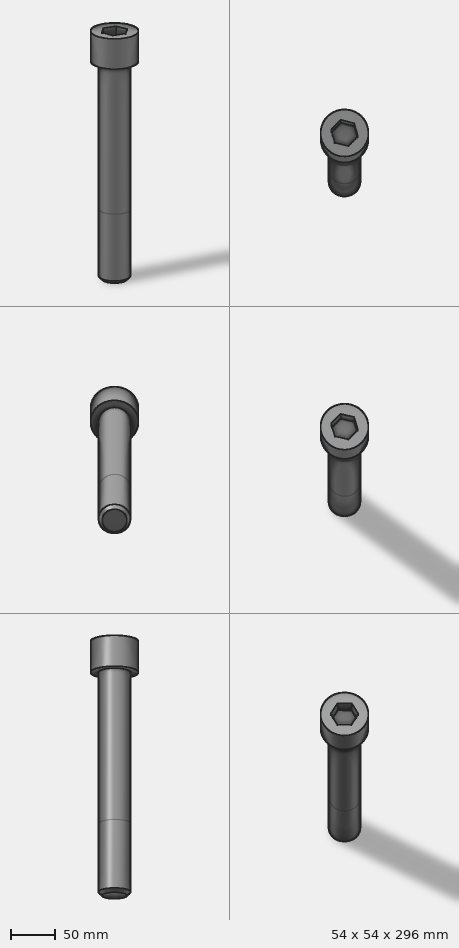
import cadquery as cq
import math

total_length = 296.0
head_diameter = 54.0
shank_diameter = 36.0
head_height = shank_diameter
thread_length = 84.0
tip_chamfer = 4.0
socket_across_flats = 27.0
socket_depth = 19.0
hexagon_sides = 6

head_underside = total_length - head_height


def make_thread():
    """Plain threaded end with a chamfered tip."""
    radius = shank_diameter / 2
    return (
        cq.Workplane("XZ")
        .moveTo(0, 0)
        .lineTo(radius - tip_chamfer, 0)
        .lineTo(radius, tip_chamfer)
        .lineTo(radius, thread_length)
        .lineTo(0, thread_length)
        .close()
        .revolve(360, (0, 0, 0), (0, 1, 0))
    )


def make_shank():
    """Unthreaded length between the thread and the head."""
    return (
        cq.Workplane("XY", origin=(0, 0, thread_length))
        .circle(shank_diameter / 2)
        .extrude(head_underside - thread_length)
    )


def make_head():
    """Cylindrical head."""
    return (
        cq.Workplane("XY", origin=(0, 0, head_underside))
        .circle(head_diameter / 2)
        .extrude(head_height)
    )


def make_socket():
    """Hexagon socket with two corners on the X axis."""
    across_corners = socket_across_flats / math.cos(math.pi / hexagon_sides)
    return (
        cq.Workplane("XY", origin=(0, 0, total_length - socket_depth))
        .polygon(hexagon_sides, across_corners)
        .extrude(socket_depth)
    )


body = make_thread().union(make_shank(), clean=False).union(make_head(), clean=False)
result = body.cut(make_socket(), clean=False)